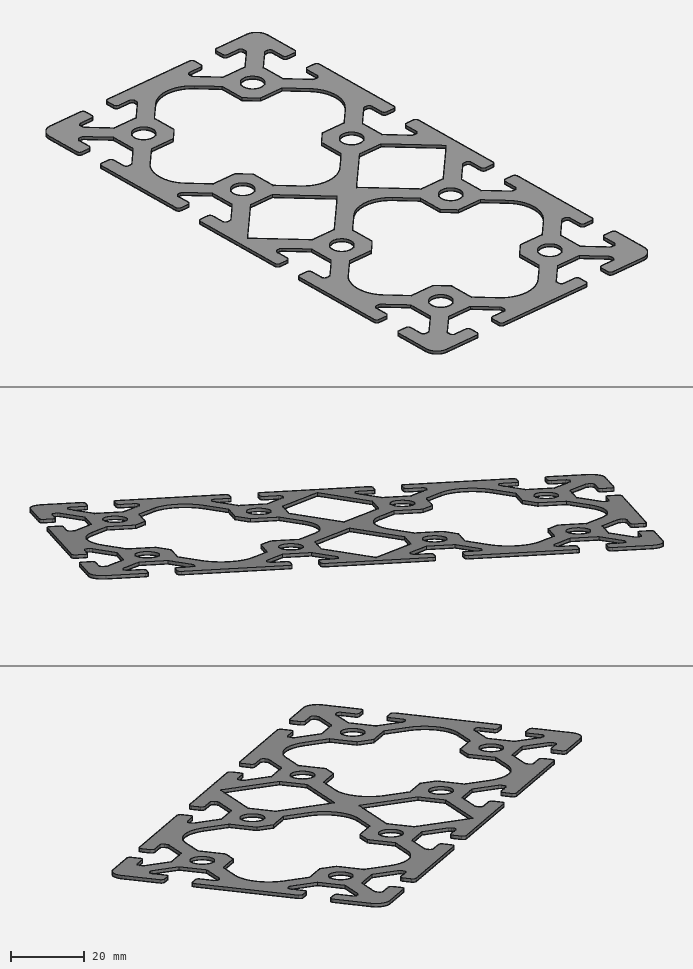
import cadquery as cq

length = 160.0
width = 80.0
thickness = 1.0
pitch = 40.0
corner_radius = 4.0

core_half = 7.5
core_flat_half = 4.0
hole_diameter = 6.7

mouth_half = 4.0
lip_depth = 4.5
undercut_half = 10.0
lip_radius = 1.0
undercut_radius = 1.0

lobe_radius = 10.0

half_pitch = pitch / 2
slot_depth = half_pitch - core_half
flank_depth = slot_depth - (undercut_half - core_flat_half)

core_face = half_pitch - core_half
flat_start = half_pitch - core_flat_half
flat_end = half_pitch + core_flat_half

column_count = round(length / pitch)
row_count = round(width / pitch)
column_xs = [(i - (column_count - 1) / 2) * pitch for i in range(column_count)]
row_ys = [(i - (row_count - 1) / 2) * pitch for i in range(row_count)]
cavity_xs = [-pitch, pitch]


def make_plate():
    """Plain rectangular plate with rounded corners."""
    plate = cq.Workplane("XY").rect(length, width).extrude(thickness)
    return plate.edges("|Z").fillet(corner_radius)


def make_slot():
    """T-slot cutter opening towards +Y, with the outer face of the plate at Y = 0."""
    slot = (
        cq.Workplane("XY")
        .moveTo(0, 0)
        .lineTo(mouth_half + lip_radius, 0)
        .radiusArc((mouth_half, -lip_radius), -lip_radius)
        .lineTo(mouth_half, lip_radius - lip_depth)
        .radiusArc((mouth_half + lip_radius, -lip_depth), -lip_radius)
        .lineTo(undercut_half, -lip_depth)
        .lineTo(undercut_half, -flank_depth)
        .lineTo(core_flat_half, -slot_depth)
        .lineTo(0, -slot_depth)
        .mirrorY()
        .extrude(thickness)
    )
    return slot.edges("|Z").edges("<X or >X").fillet(undercut_radius)


def make_cavity():
    """Four-lobed cavity cutter, centred between four cores."""
    lobe_tip = core_face + flat_end
    quadrant = [
        (lobe_tip, 0),
        (flat_end, core_face),
        (flat_start, core_face),
        (core_face, flat_start),
        (core_face, flat_end),
    ]
    points = list(quadrant)
    for _ in range(3):
        quadrant = [(-y, x) for x, y in quadrant]
        points += quadrant
    cavity = cq.Workplane("XY").polyline(points).close().extrude(thickness)
    return cavity.edges("|Z").edges("<X or >X or <Y or >Y").fillet(lobe_radius)


def make_window():
    """Six-sided window cutter, centred between two cores of one row."""
    tip = core_face + core_flat_half
    points = [
        (0, tip),
        (core_face, core_flat_half),
        (core_face, -core_flat_half),
        (0, -tip),
        (-core_face, -core_flat_half),
        (-core_face, core_flat_half),
    ]
    return cq.Workplane("XY").polyline(points).close().extrude(thickness)


def turned(cutter, angle):
    """Turn a cutter about the vertical axis through its origin."""
    return cutter.rotate((0, 0, 0), (0, 0, 1), angle)


result = make_plate()

slot = make_slot()
for x in column_xs:
    result = result.cut(slot.translate((x, width / 2, 0)))
    result = result.cut(turned(slot, 180).translate((x, -width / 2, 0)))
for y in row_ys:
    result = result.cut(turned(slot, 90).translate((-length / 2, y, 0)))
    result = result.cut(turned(slot, -90).translate((length / 2, y, 0)))

cavity = make_cavity()
for x in cavity_xs:
    result = result.cut(cavity.translate((x, 0, 0)))

window = make_window()
for y in row_ys:
    result = result.cut(window.translate((0, y, 0)))

core_centres = [(x, y) for x in column_xs for y in row_ys]
holes = cq.Workplane("XY").pushPoints(core_centres).circle(hole_diameter / 2).extrude(thickness)
result = result.cut(holes)